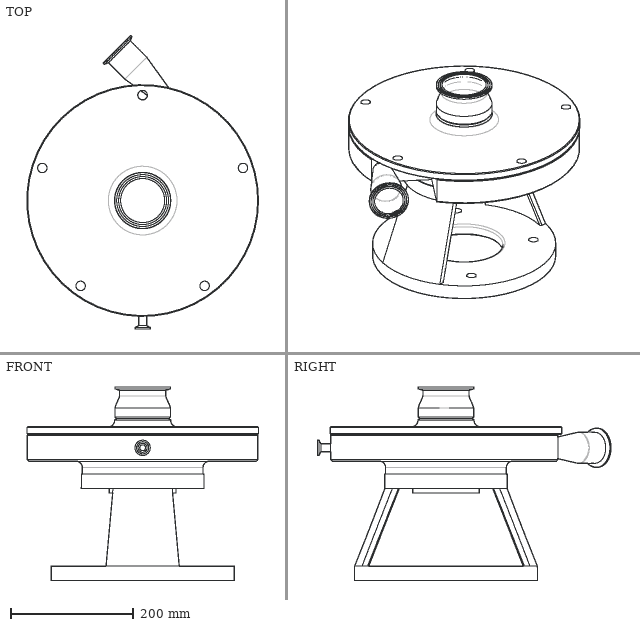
import cadquery as cq
import math

base_top = 23.5
hub_bottom = 143.0
ring_bottom = 150.5
ring_top = 174.0
casing_bottom = 195.0
cover_bottom = 238.5
cover_top = 251.5
port_height = 217.0
inlet_face = 316.5

base_radius = 150.0
base_bore_radius = 63.5
base_bore_fillet = 3.5
base_recess_radius = 74.5
base_recess_depth = 7.0
base_hole_circle = 114.0
base_hole_count = 4
ring_radius = 100.5
leg_thickness = 11.5
leg_half_width_top = 48.5
leg_half_width_bottom = 60.0
leg_chamfer = 3.5

cover_radius = 379.0 / 2
casing_radius = 188.5
rim_chamfer = 1.5
casing_bottom_chamfer = 3.0
neck_radius = 99.0
neck_fillet = 10.0
hub_radius = 54.5
cover_hole_circle = 172.5
cover_hole_count = 5
bolt_hole_radius = 7.5

tube_wall = 2.0
inlet_tube_radius = 38.0
bulge_radius = 45.5
collar_radius = 46.0
collar_fillet = 10.0
collar_top = 262.5
waist_radius = 42.5
waist_height = 264.5
bulge_bottom = 267.5
bulge_top = 282.0
taper_top = 302.0
bore_taper_top = 288.5
taper_end_slope = 0.2

outlet_offset = 145.0
outlet_angle = 45
outlet_face = 204.5
outlet_taper_start = 161.0
outlet_inner_end = 96.0
outlet_tube_radius = 25.5
outlet_throat_radius = 15.0
outlet_flange_radius = 32.0
notch_side = 63.5

overall_length = 480
drain_face = overall_length - (outlet_offset + outlet_face + outlet_flange_radius) / math.sqrt(2)
drain_tube_radius = 6.5
drain_bore_radius = 5.0
drain_flange_radius = 12.5

clamp_rim = 3.0
seal_groove_depth = 1.5


def revolved(profile):
    """Close a (radius, height) profile and turn it around the Z axis."""
    return profile.close().revolve(360, (0, 0, 0), (0, 1, 0))


def cylinder(radius, bottom, top):
    return cq.Workplane("XY").workplane(offset=bottom).circle(radius).extrude(top - bottom)


def rim_plate(radius, bottom, top, bottom_chamfer):
    """Round plate with both rims chamfered."""
    plate = cylinder(radius, bottom, top).faces(">Z").chamfer(rim_chamfer)
    return plate.faces("<Z").chamfer(bottom_chamfer)


def bolt_holes(circle_radius, count, first_angle, bottom, top):
    """Cutting cylinders for evenly spaced bolt holes."""
    return (
        cq.Workplane("XY")
        .workplane(offset=bottom)
        .polarArray(circle_radius, first_angle, 360, count)
        .circle(bolt_hole_radius)
        .extrude(top - bottom)
    )


def arc_middle(start, end, centre):
    """Middle of the quarter arc from start to end around centre."""
    chord = [(a + b) / 2 - c for a, b, c in zip(start, end, centre)]
    stretch = math.dist(start, centre) / math.hypot(*chord)
    return tuple(c + stretch * d for c, d in zip(centre, chord))


def clamp_flange(face, flange_radius, tube_radius):
    """Clamp flange around Z with its sealing face at the given height."""
    return revolved(
        cq.Workplane("XZ")
        .moveTo(0, face)
        .lineTo(flange_radius, face)
        .lineTo(flange_radius, face - clamp_rim)
        .lineTo(tube_radius, face - 2 * clamp_rim)
        .lineTo(0, face - 2 * clamp_rim)
    )


def seal_groove(face, flange_radius, bore_radius):
    """Ring groove in the middle third of the sealing face."""
    land = (flange_radius - bore_radius) / 3
    bottom = face - seal_groove_depth
    return cylinder(flange_radius - land, bottom, face).cut(cylinder(bore_radius + land, bottom, face))




def inlet_tube():
    """Wide round column that tapers smoothly to the narrower inlet end."""
    taper_direction = (-taper_end_slope, 1)
    return revolved(
        cq.Workplane("XZ")
        .moveTo(0, bulge_bottom)
        .lineTo(bulge_radius, bulge_bottom)
        .lineTo(bulge_radius, bulge_top)
        .spline(
            [(inlet_tube_radius, taper_top)],
            tangents=[taper_direction, taper_direction],
            includeCurrent=True,
        )
        .lineTo(inlet_tube_radius, inlet_face)
        .lineTo(0, inlet_face)
    )


def inlet_bore(mouth_radius):
    """Straight bore that widens below the taper and passes through the cover."""
    inner_radius = waist_radius - tube_wall
    return revolved(
        cq.Workplane("XZ")
        .moveTo(0, cover_bottom)
        .lineTo(inner_radius, cover_bottom)
        .lineTo(inner_radius, waist_height)
        .lineTo(mouth_radius, bore_taper_top)
        .lineTo(mouth_radius, inlet_face)
        .lineTo(0, inlet_face)
    )


def inlet_collar():
    """Flared collar on the cover, with a narrow waist below the inlet tube."""
    flare_start = (collar_radius + collar_fillet, cover_top)
    flare_end = (collar_radius, cover_top + collar_fillet)
    flare_centre = (flare_start[0], flare_end[1])
    return revolved(
        cq.Workplane("XZ")
        .moveTo(0, cover_top)
        .lineTo(*flare_start)
        .threePointArc(arc_middle(flare_start, flare_end, flare_centre), flare_end)
        .lineTo(collar_radius, collar_top)
        .lineTo(waist_radius, waist_height)
        .lineTo(bulge_radius, bulge_bottom)
        .lineTo(0, bulge_bottom)
    )


def make_cover():
    mouth_radius = inlet_tube_radius - tube_wall
    top_hole_angle = 90
    return (
        rim_plate(cover_radius, cover_bottom, cover_top, rim_chamfer)
        .union(inlet_collar())
        .union(inlet_tube())
        .union(clamp_flange(inlet_face, bulge_radius, inlet_tube_radius))
        .cut(inlet_bore(mouth_radius))
        .cut(seal_groove(inlet_face, bulge_radius, mouth_radius))
        .cut(bolt_holes(cover_hole_circle, cover_hole_count, top_hole_angle, cover_bottom, cover_top))
    )




def outlet_notch():
    """Open corner of the casing, whose flat end face carries the outlet."""
    size = casing_radius
    corner = cq.Workplane("XY").box(size, size, size, centered=(False, False, True))
    return corner.translate((notch_side, outlet_inner_end, port_height)).rotate(
        (0, 0, 0), (0, 0, 1), outlet_angle
    )


def casing_neck():
    """Neck below the casing, filleted into the casing underside."""
    fillet_start = (neck_radius, casing_bottom - neck_fillet)
    fillet_end = (neck_radius + neck_fillet, casing_bottom)
    fillet_centre = (fillet_end[0], fillet_start[1])
    return revolved(
        cq.Workplane("XZ")
        .moveTo(0, ring_top)
        .lineTo(neck_radius, ring_top)
        .lineTo(*fillet_start)
        .threePointArc(arc_middle(fillet_start, fillet_end, fillet_centre), fillet_end)
        .lineTo(0, casing_bottom)
    )


def outlet_core(inset):
    """Tapered throat and straight tube along Z, set in by the given wall thickness."""
    tube_radius = outlet_tube_radius - inset
    throat_radius = outlet_throat_radius - inset
    return revolved(
        cq.Workplane("XZ")
        .moveTo(0, outlet_inner_end)
        .lineTo(throat_radius, outlet_inner_end)
        .lineTo(tube_radius, outlet_taper_start)
        .lineTo(tube_radius, outlet_face)
        .lineTo(0, outlet_face)
    )


def outlet():
    """Hollow outlet pipe, turned from Z onto its tangential axis."""
    pipe = (
        outlet_core(0)
        .union(clamp_flange(outlet_face, outlet_flange_radius, outlet_tube_radius))
        .cut(outlet_core(tube_wall))
        .cut(seal_groove(outlet_face, outlet_flange_radius, outlet_tube_radius - tube_wall))
    )
    return (
        pipe.rotate((0, 0, 0), (1, 0, 0), -90)
        .translate((outlet_offset, 0, port_height))
        .rotate((0, 0, 0), (0, 0, 1), outlet_angle)
    )


def drain():
    """Drain port, turned from Z to point along -Y, with its bore ending at the casing wall."""
    inner_end = casing_radius - drain_tube_radius
    pipe = (
        cylinder(drain_tube_radius, inner_end, drain_face)
        .union(clamp_flange(drain_face, drain_flange_radius, drain_tube_radius))
        .cut(cylinder(drain_bore_radius, casing_radius, drain_face))
        .cut(seal_groove(drain_face, drain_flange_radius, drain_bore_radius))
    )
    return pipe.rotate((0, 0, 0), (1, 0, 0), 90).translate((0, 0, port_height))


def pedestal_legs():
    """Conical shell from the ring to the base, trimmed to one tapered leg at -Y and one at +Y."""
    shell = revolved(
        cq.Workplane("XZ")
        .moveTo(base_radius, base_top)
        .lineTo(ring_radius, ring_bottom)
        .lineTo(ring_radius - leg_thickness, ring_bottom)
        .lineTo(base_radius - leg_thickness, base_top)
    )
    trapezoid = (
        cq.Workplane("XZ")
        .moveTo(-leg_half_width_bottom, base_top)
        .lineTo(leg_half_width_bottom, base_top)
        .lineTo(leg_half_width_top, ring_bottom)
        .lineTo(-leg_half_width_top, ring_bottom)
        .close()
        .extrude(base_radius, both=True)
    )
    legs = shell.intersect(trapezoid)
    middle_radius = (base_radius + ring_radius - leg_thickness) / 2
    middle_half_width = (leg_half_width_top + leg_half_width_bottom) / 2
    limit_y = math.sqrt(middle_radius**2 - middle_half_width**2)
    inner_box = cq.selectors.BoxSelector(
        (-base_radius, -limit_y, base_top), (base_radius, limit_y, ring_bottom)
    )
    return legs.edges("%HYPERBOLA").edges(inner_box).chamfer(leg_chamfer)


def pedestal_base():
    """Base ring with a rounded bore, a recess underneath and bolt holes on the diagonals."""
    first_hole_angle = 45
    plate = cylinder(base_radius, 0, base_top).cut(cylinder(base_bore_radius, 0, base_top))
    bore_edge = cq.selectors.RadiusNthSelector(0)
    return (
        plate.faces(">Z")
        .edges(bore_edge)
        .fillet(base_bore_fillet)
        .cut(cylinder(base_recess_radius, 0, base_recess_depth))
        .cut(bolt_holes(base_hole_circle, base_hole_count, first_hole_angle, 0, base_top))
    )


def make_casing():
    return (
        rim_plate(casing_radius, casing_bottom, cover_bottom, casing_bottom_chamfer)
        .cut(outlet_notch())
        .union(casing_neck())
        .union(cylinder(ring_radius, ring_bottom, ring_top))
        .union(cylinder(hub_radius, hub_bottom, ring_bottom))
        .union(pedestal_legs())
        .union(pedestal_base())
        .union(outlet())
        .union(drain())
    )


cover = make_cover()
casing = make_casing()

result = cq.Compound.makeCompound([cover.val(), casing.val()])